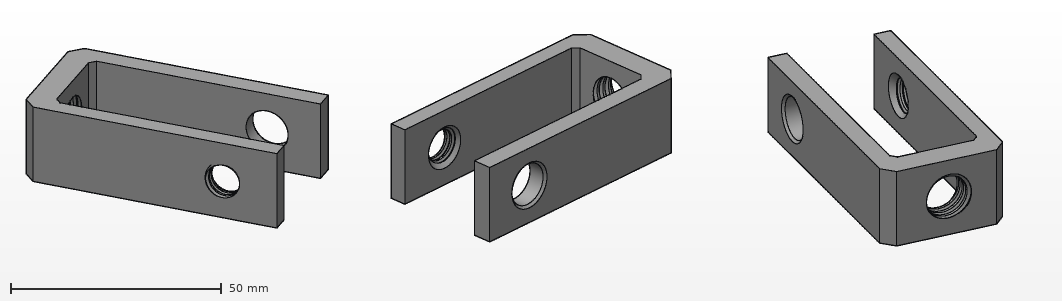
import cadquery as cq
import math

LENGTH = 65.6
WIDTH = 32.3
HEIGHT = 20.0
END_WALL = 6.7
FRONT_ARM = 4.45
REAR_ARM = 5.0
OUTER_CHAMFER = 3.0
INNER_CHAMFER = 1.45

END_MINOR_DIAMETER = 11.0
END_MAJOR_DIAMETER = 12.65
END_PITCH = 2.0

PIN_FROM_FREE_END = 13.7
PIN_MINOR_DIAMETER = 8.2
PIN_MAJOR_DIAMETER = 9.5
PIN_PITCH = 1.6
PIN_CLEARANCE_DIAMETER = 10.75

THREADED_RIM_CHAMFER = 1.45
CLEARANCE_RIM_CHAMFER = 0.65
COUNTERSINK_ANGLE = 45

FLANK_HALF_ANGLE = math.radians(30)
ROOT_FLAT_PER_PITCH = 1 / 8
GROOVE_OVERLAP = 0.05
BORE_SEAM_ANGLE = 200

slot_width = WIDTH - FRONT_ARM - REAR_ARM
slot_center_y = FRONT_ARM + slot_width / 2
mid_z = HEIGHT / 2
pin_x = LENGTH - PIN_FROM_FREE_END


def make_body():
    block = cq.Workplane("XY").box(LENGTH, WIDTH, HEIGHT, centered=False)
    block = block.edges("|Z and <X").chamfer(OUTER_CHAMFER)
    slot = (
        cq.Workplane("XY")
        .box(LENGTH - END_WALL, slot_width, HEIGHT, centered=False)
        .edges("|Z and <X")
        .chamfer(INNER_CHAMFER)
        .translate((END_WALL, FRONT_ARM, 0))
    )
    return block.cut(slot)


def cut_threaded_hole(body, plane, depth, minor_diameter, major_diameter, pitch):
    """Cut a right-handed thread from the plane along its normal.

    The groove is centered on the entry face along the plane's local X direction.
    """
    inner_radius = minor_diameter / 2 - GROOVE_OVERLAP
    outer_radius = major_diameter / 2
    root_half = ROOT_FLAT_PER_PITCH * pitch / 2
    mouth_half = root_half + (outer_radius - inner_radius) * math.tan(FLANK_HALF_ANGLE)

    helix = cq.Wire.makeHelix(pitch, depth + 2 * pitch, inner_radius)
    groove = (
        cq.Workplane("XZ")
        .moveTo(inner_radius, -mouth_half)
        .lineTo(outer_radius, -root_half)
        .lineTo(outer_radius, root_half)
        .lineTo(inner_radius, mouth_half)
        .close()
        .sweep(cq.Workplane(obj=helix), isFrenet=True)
        .translate((0, 0, -pitch))
    )
    placed_groove = groove.val().moved(cq.Location(plane))
    bore = (
        cq.Workplane(plane)
        .transformed(rotate=(0, 0, BORE_SEAM_ANGLE))
        .circle(minor_diameter / 2)
        .extrude(depth)
    )
    return body.cut(cq.Workplane(obj=placed_groove)).cut(bore)


def cut_clearance_hole(body):
    hole = (
        cq.Workplane("XZ", origin=(pin_x, WIDTH, mid_z))
        .circle(PIN_CLEARANCE_DIAMETER / 2)
        .extrude(REAR_ARM)
    )
    return body.cut(hole)


def countersink_pin_hole(body, face_y, hole_diameter, chamfer):
    """Bevel the pin hole's rim on the rear face of an arm."""
    cone = (
        cq.Workplane("XZ", origin=(pin_x, face_y, mid_z))
        .circle(hole_diameter / 2 + chamfer)
        .extrude(chamfer, taper=COUNTERSINK_ANGLE)
    )
    return body.cut(cone)


end_plane = cq.Plane(origin=(0, slot_center_y, mid_z), xDir=(0, -1, 1), normal=(1, 0, 0))
pin_plane = cq.Plane(origin=(pin_x, 0, mid_z), xDir=(-1, 0, -1), normal=(0, 1, 0))

result = make_body()
result = cut_threaded_hole(
    result, end_plane, END_WALL, END_MINOR_DIAMETER, END_MAJOR_DIAMETER, END_PITCH
)
result = cut_threaded_hole(
    result, pin_plane, FRONT_ARM, PIN_MINOR_DIAMETER, PIN_MAJOR_DIAMETER, PIN_PITCH
)
result = cut_clearance_hole(result)
result = countersink_pin_hole(result, FRONT_ARM, PIN_MINOR_DIAMETER, THREADED_RIM_CHAMFER)
result = countersink_pin_hole(result, WIDTH, PIN_CLEARANCE_DIAMETER, CLEARANCE_RIM_CHAMFER)